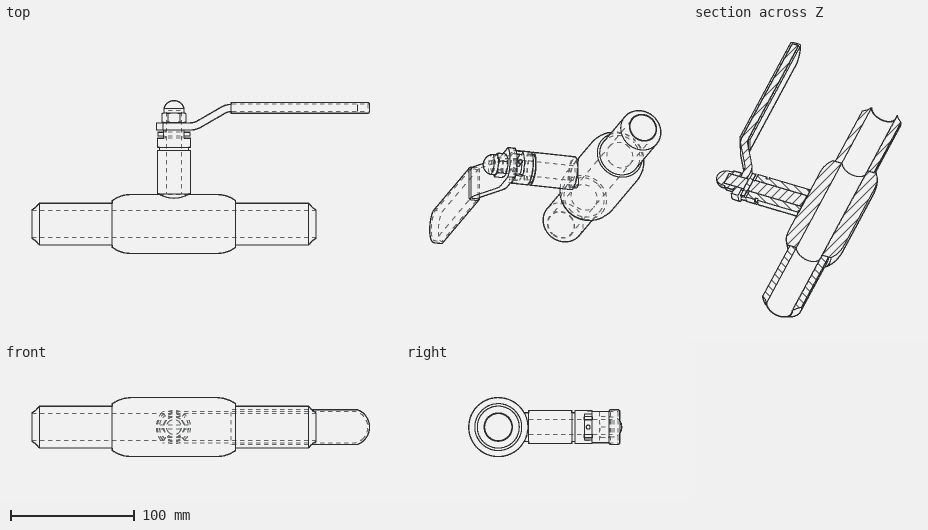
import cadquery as cq
import math


run_length = 230.0
bore_radius = 11.0
pipe_radius = 17.0
pipe_end_radius = 11.5
bevel_length = 6.0
bevel_mid_radius = 13.6

shell_radius = 24.0
shell_length = 100.0
shell_straight_length = 70.0
shell_end_radius = 19.0

neck_radius = 26.9 / 2
neck_groove_radius = 11.8
neck_bottom = 24.5
groove_bottom = 59.6
groove_top = 62.0
slot_floor = 69.6
neck_top = 76.0
collar_bore_radius = 10.8
slot_half_angle = 52.0

stem_radius = 6.0
stem_top = 92.0
pin_diameter = 3.2
pin_length = 26.0
pin_height = (slot_floor + neck_top) / 2

nut_across_flats = 17.0
nut_hex_height = 8.0
nut_crown_radius = 8.2
nut_crown_straight = 3.5
nut_top = 100.0
nut_chamfer_angle = 30.0

lever_thickness = 6.0
lever_width = 25.4
lever_heel_reach = 14.25
lever_heel_sag = 5.5
lever_rise = 15.0
lever_slope = 30.0
lever_slope_middle = 30.0
lever_bend_radius = 14.0

grip_wall = 1.5
grip_start = 46.2
grip_tip = 158.37
grip_end_sag = 10.0
grip_edge_radius = 2.0

half_run = run_length / 2
half_shell = shell_length / 2
lever_bottom = neck_top
lever_top = lever_bottom + lever_thickness


def cylinder_y(radius, bottom, top):
    """Cylinder on the stem axis between two heights along Y."""
    return cq.Workplane("XZ", origin=(0, bottom, 0)).circle(radius).extrude(bottom - top)


def slab_y(outline, bottom, top):
    """Extrude an outline drawn in X and Z between two heights along Y."""
    return outline(cq.Workplane("XZ", origin=(0, bottom, 0))).close().extrude(bottom - top)


def make_shell():
    half_straight = shell_straight_length / 2
    taper_length = half_shell - half_straight
    drop = shell_radius - shell_end_radius
    arc_radius = (taper_length**2 + drop**2) / (2 * drop)
    return (
        cq.Workplane("XY")
        .moveTo(-half_shell, bore_radius)
        .lineTo(-half_shell, shell_end_radius)
        .radiusArc((-half_straight, shell_radius), arc_radius)
        .lineTo(half_straight, shell_radius)
        .radiusArc((half_shell, shell_end_radius), arc_radius)
        .lineTo(half_shell, bore_radius)
        .close()
        .revolve(360, (0, 0, 0), (1, 0, 0))
    )


def make_pipe(side):
    """Welding end on the +X (side = 1) or -X (side = -1) end of the shell."""
    profile = [
        (half_shell, bore_radius),
        (half_shell, pipe_radius),
        (half_run - bevel_length, pipe_radius),
        (half_run - bevel_length / 2, bevel_mid_radius),
        (half_run, pipe_end_radius),
        (half_run, bore_radius),
    ]
    return (
        cq.Workplane("XY")
        .polyline([(side * x, radius) for x, radius in profile])
        .close()
        .revolve(360, (0, 0, 0), (1, 0, 0))
    )


def make_slot_cutter(side):
    """Wedge that opens the collar towards one side, between two radial planes."""
    reach = 2 * neck_radius
    half_width = reach * math.tan(math.radians(slot_half_angle))

    def wedge(plane):
        return plane.polyline([(0, 0), (side * reach, half_width), (side * reach, -half_width)])

    return slab_y(wedge, slot_floor, neck_top)


def make_neck():
    neck = cylinder_y(neck_groove_radius, 0, neck_top)
    neck = neck.union(cylinder_y(neck_radius, neck_bottom, groove_bottom))
    neck = neck.union(cylinder_y(neck_radius, groove_top, neck_top))
    neck = neck.cut(cq.Workplane("YZ").circle(shell_radius).extrude(half_shell, both=True))
    neck = neck.cut(cylinder_y(collar_bore_radius, slot_floor, neck_top))
    for side in (-1, 1):
        neck = neck.cut(make_slot_cutter(side))
    return neck.cut(cylinder_y(stem_radius, neck_bottom, neck_top))


def make_pin():
    return (
        cq.Workplane("YZ", origin=(0, pin_height, 0))
        .circle(pin_diameter / 2)
        .extrude(pin_length / 2, both=True)
    )


def make_stem():
    return cylinder_y(stem_radius, neck_bottom, stem_top).cut(make_pin())


def make_nut():
    corner_radius = nut_across_flats / math.sqrt(3)
    hex_top = lever_top + nut_hex_height
    prism = (
        cq.Workplane("XZ", origin=(0, lever_top, 0))
        .polygon(6, 2 * corner_radius)
        .extrude(-nut_hex_height)
    )
    flat_radius = nut_across_flats / 2
    chamfer = (corner_radius - flat_radius) * math.tan(math.radians(nut_chamfer_angle))
    corner_trim = (
        cylinder_y(corner_radius, lever_top, hex_top)
        .faces("<Y or >Y")
        .chamfer(chamfer, corner_radius - flat_radius)
    )
    crown_edge = hex_top + nut_crown_straight
    dome_height = nut_top - crown_edge
    dome_radius = (nut_crown_radius**2 + dome_height**2) / (2 * dome_height)
    crown = (
        cq.Workplane("XY")
        .moveTo(0, lever_top)
        .lineTo(nut_crown_radius, lever_top)
        .lineTo(nut_crown_radius, crown_edge)
        .radiusArc((0, nut_top), -dome_radius)
        .close()
        .revolve(360, (0, 0, 0), (0, 1, 0))
    )
    return prism.intersect(corner_trim).union(crown).cut(cylinder_y(stem_radius, lever_top, stem_top))


def rounded_tip(plane, start, tip, half_width, sag):
    """Strip along X with a square end at start and an arched end reaching tip."""
    return (
        plane.moveTo(start, -half_width)
        .lineTo(tip - sag, -half_width)
        .threePointArc((tip, 0), (tip - sag, half_width))
        .lineTo(start, half_width)
    )


def lever_plan(plane):
    """Lever seen along the stem axis, arched at the heel and at the tip."""
    half_width = lever_width / 2
    heel_corner = lever_heel_sag - lever_heel_reach
    strip = rounded_tip(plane, heel_corner, grip_tip - grip_wall, half_width, grip_end_sag)
    return strip.threePointArc((-lever_heel_reach, 0), (heel_corner, -half_width))


def make_lever():
    slope = math.radians(lever_slope)
    half_slope_run = lever_rise / math.tan(slope) / 2
    corner_shift = lever_thickness / 2 * math.tan(slope / 2)
    low_bend = lever_slope_middle - half_slope_run
    high_bend = lever_slope_middle + half_slope_run
    side_profile = (
        cq.Workplane("XY")
        .polyline(
            [
                (-lever_heel_reach, lever_bottom),
                (low_bend + corner_shift, lever_bottom),
                (high_bend + corner_shift, lever_bottom + lever_rise),
                (grip_tip, lever_bottom + lever_rise),
                (grip_tip, lever_top + lever_rise),
                (high_bend - corner_shift, lever_top + lever_rise),
                (low_bend - corner_shift, lever_top),
                (-lever_heel_reach, lever_top),
            ]
        )
        .close()
        .extrude(lever_width / 2, both=True)
    )
    inner_radius = lever_bend_radius - lever_thickness / 2
    outer_radius = lever_bend_radius + lever_thickness / 2
    bends = [
        (low_bend + corner_shift, lever_bottom, outer_radius),
        (high_bend + corner_shift, lever_bottom + lever_rise, inner_radius),
        (high_bend - corner_shift, lever_top + lever_rise, outer_radius),
        (low_bend - corner_shift, lever_top, inner_radius),
    ]
    for x, y, radius in bends:
        corner = cq.selectors.NearestToPointSelector((x, y, 0))
        side_profile = side_profile.edges("|Z").edges(corner).fillet(radius)
    plate = side_profile.intersect(slab_y(lever_plan, lever_bottom, lever_top + lever_rise))
    return plate.cut(cylinder_y(stem_radius, lever_bottom, lever_top))


def make_grip(lever):
    def grip_plan(plane):
        half_width = lever_width / 2 + grip_wall
        return rounded_tip(plane, grip_start, grip_tip, half_width, grip_end_sag)

    bottom = lever_bottom + lever_rise - grip_wall
    top = lever_top + lever_rise + grip_wall
    grip = slab_y(grip_plan, bottom, top)
    grip = grip.faces("<Y or >Y").edges("not <X").fillet(grip_edge_radius)
    return grip.cut(lever)


shell = make_shell()
pipes = [make_pipe(side) for side in (-1, 1)]
neck = make_neck()
stem = make_stem()
pin = make_pin()
nut = make_nut()
lever = make_lever()
grip = make_grip(lever)

bodies = [shell, *pipes, neck, stem, pin, lever, grip, nut]
result = cq.Compound.makeCompound([solid for body in bodies for solid in body.solids().vals()])